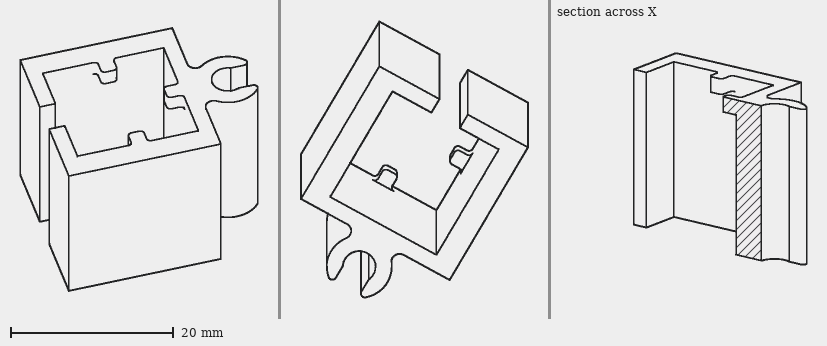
import cadquery as cq
import math

length = 20.0
body_width = 21.0
body_depth = 19.5
side_wall = 3.0
end_wall = 2.0
slot_width = 4.0

hook_outer_radius = 4.0
hook_inner_radius = 2.0
mouth_width = 3.6
tip_radius = 0.5
neck_radius = 1.0

tab_width = 2.0
tab_reach = 2.0
tab_height = 2.0
tab_radius = 0.5
side_tab_y = 10.0

cavity_width = body_width - 2 * side_wall
cavity_back_y = body_depth - end_wall


def make_channel():
    """Rectangular tube with a full-length slot in the front wall."""
    centred_in_x = (True, False, False)
    body = cq.Workplane("XY").box(body_width, body_depth, length, centered=centred_in_x)
    cavity = (
        cq.Workplane("XY", origin=(0, end_wall, 0))
        .box(cavity_width, cavity_back_y - end_wall, length, centered=centred_in_x)
    )
    slot = cq.Workplane("XY").box(slot_width, end_wall, length, centered=centred_in_x)
    return body.cut(cavity).cut(slot)


def across(point):
    """Mirror image of a point across the Y axis."""
    x, y = point
    return (-x, y)


def make_hook():
    """C-shaped hook outlined about its own centre, with its root sunk through the back wall."""
    half_mouth = mouth_width / 2
    wall_y = -hook_outer_radius

    tip_x = half_mouth + tip_radius
    tip_path_radius = hook_outer_radius - tip_radius
    tip_y = math.sqrt(tip_path_radius**2 - tip_x**2)
    tip_tangent_scale = hook_outer_radius / tip_path_radius

    neck_path_radius = hook_outer_radius + neck_radius
    neck_y = wall_y + neck_radius
    neck_x = math.sqrt(neck_path_radius**2 - neck_y**2)
    neck_tangent_scale = hook_outer_radius / neck_path_radius

    tip_mid_angle = (math.atan2(tip_y, tip_x) + math.radians(180)) / 2
    tip_mid = (
        tip_x + tip_radius * math.cos(tip_mid_angle),
        tip_y + tip_radius * math.sin(tip_mid_angle),
    )
    neck_mid_angle = (math.atan2(-neck_y, -neck_x) + math.radians(270)) / 2
    neck_mid = (
        neck_x + neck_radius * math.cos(neck_mid_angle),
        neck_y + neck_radius * math.sin(neck_mid_angle),
    )

    bore_end_y = math.sqrt(hook_inner_radius**2 - half_mouth**2)
    neck_end = (neck_x * neck_tangent_scale, neck_y * neck_tangent_scale)
    tip_start = (tip_x * tip_tangent_scale, tip_y * tip_tangent_scale)
    root_y = wall_y - end_wall

    return (
        cq.Workplane("XY", origin=(0, body_depth + hook_outer_radius, 0))
        .moveTo(-neck_x, root_y)
        .lineTo(neck_x, root_y)
        .lineTo(neck_x, wall_y)
        .threePointArc(neck_mid, neck_end)
        .threePointArc((hook_outer_radius, 0), tip_start)
        .threePointArc(tip_mid, (half_mouth, tip_y))
        .lineTo(half_mouth, bore_end_y)
        .threePointArc((0, -hook_inner_radius), (-half_mouth, bore_end_y))
        .lineTo(-half_mouth, tip_y)
        .threePointArc(across(tip_mid), across(tip_start))
        .threePointArc((-hook_outer_radius, 0), across(neck_end))
        .threePointArc(across(neck_mid), (-neck_x, wall_y))
        .close()
        .extrude(length)
    )


def make_tab(x, y, turn):
    """Tab with rounded tip and root, sunk into the wall at (x, y); at zero turn it points to +X."""
    half_width = tab_width / 2
    root_half_width = half_width + tab_radius
    shoulder = tab_reach - tab_radius
    tip_half_width = half_width - tab_radius
    return (
        cq.Workplane("XY")
        .moveTo(-end_wall, -root_half_width)
        .lineTo(0, -root_half_width)
        .radiusArc((tab_radius, -half_width), tab_radius)
        .lineTo(shoulder, -half_width)
        .radiusArc((tab_reach, -tip_half_width), -tab_radius)
        .lineTo(tab_reach, tip_half_width)
        .radiusArc((shoulder, half_width), -tab_radius)
        .lineTo(tab_radius, half_width)
        .radiusArc((0, root_half_width), tab_radius)
        .lineTo(-end_wall, root_half_width)
        .close()
        .extrude(tab_height)
        .rotate((0, 0, 0), (0, 0, 1), turn)
        .translate((x, y, length - tab_height))
    )


tab_places = [
    (-cavity_width / 2, side_tab_y, 0),
    (cavity_width / 2, side_tab_y, 180),
    (0, cavity_back_y, -90),
]

result = make_channel().union(make_hook())
for x, y, turn in tab_places:
    result = result.union(make_tab(x, y, turn))